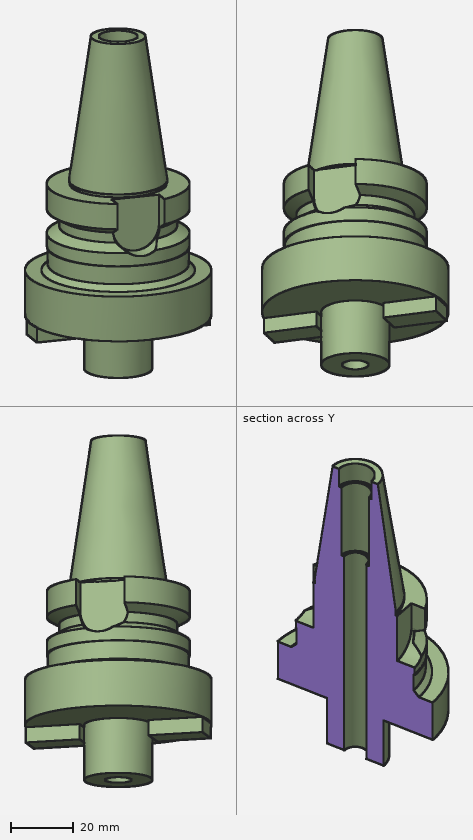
import cadquery as cq
import math


gauge_radius = 31.75 / 2
taper_length = 48.4
taper_rate = 7 / 24
taper_tip_radius = gauge_radius - taper_length * taper_rate / 2
neck_radius = 15.6
neck_length = 1.0

flange_radius = 23.0
flange_bottom_z = -22.0
groove_center_z = -13.5
groove_mouth_width = 8.0
groove_angle = 60.0
groove_floor_radius = 19.0

collar_radius = 22.7
step_height = 2.0

disc_radius = 30.0
disc_top_z = -30.0
disc_bottom_z = -45.0
pilot_radius = 11.0
pilot_bottom_z = -63.0

key_width = 10.0
key_height = 5.0
key_inner_y = 11.5
key_outer_y = 29.5

slot_width = 16.1
slot_floor_x = 16.3
slot_bottom_z = -18.9

entry_bore_radius = 12.5 / 2
entry_bore_depth = 7.0
thread_bore_radius = 10.5 / 2
thread_bore_depth = 34.0
through_bore_radius = 8.5 / 2


def make_body():
    """Revolve the outer profile about Z."""
    half_mouth = groove_mouth_width / 2
    flank_drop = (flange_radius - groove_floor_radius) * math.tan(math.radians(groove_angle / 2))
    half_floor = half_mouth - flank_drop
    profile = [
        (0, taper_length),
        (taper_tip_radius, taper_length),
        (gauge_radius, 0),
        (neck_radius, 0),
        (neck_radius, -neck_length),
        (flange_radius, -neck_length),
        (flange_radius, groove_center_z + half_mouth),
        (groove_floor_radius, groove_center_z + half_floor),
        (groove_floor_radius, groove_center_z - half_floor),
        (flange_radius, groove_center_z - half_mouth),
        (flange_radius, flange_bottom_z),
        (collar_radius, flange_bottom_z),
        (collar_radius, disc_top_z + step_height),
        (collar_radius + step_height, disc_top_z),
        (disc_radius, disc_top_z),
        (disc_radius, disc_bottom_z),
        (pilot_radius, disc_bottom_z),
        (pilot_radius, pilot_bottom_z),
        (0, pilot_bottom_z),
    ]
    return cq.Workplane("XZ").polyline(profile).close().revolve(360, (0, 0, 0), (0, 1, 0))


def make_drive_key(side):
    """Rectangular key below the disc, on the +Y (side = 1) or -Y (side = -1) half."""
    key_length = key_outer_y - key_inner_y
    key_center_y = side * (key_inner_y + key_outer_y) / 2
    return (
        cq.Workplane("XY", origin=(0, key_center_y, disc_bottom_z))
        .rect(key_width, key_length)
        .extrude(-key_height)
    )


def make_drive_slot(side):
    """Round-bottomed slot, open upwards and outwards, on the +X or -X side."""
    half_width = slot_width / 2
    arc_center_z = slot_bottom_z + half_width
    slot_depth = flange_radius - slot_floor_x
    return (
        cq.Workplane("YZ", origin=(side * slot_floor_x, 0, 0))
        .moveTo(-half_width, 0)
        .lineTo(-half_width, arc_center_z)
        .threePointArc((0, slot_bottom_z), (half_width, arc_center_z))
        .lineTo(half_width, 0)
        .close()
        .extrude(side * slot_depth)
    )


def make_bore(radius, depth):
    """Coaxial cylinder reaching down from the small end of the taper."""
    return cq.Workplane("XY", origin=(0, 0, taper_length)).circle(radius).extrude(-depth)


result = make_body()
for side in (-1, 1):
    result = result.union(make_drive_key(side))
    result = result.cut(make_drive_slot(side))

overall_length = taper_length - pilot_bottom_z
for radius, depth in (
    (entry_bore_radius, entry_bore_depth),
    (thread_bore_radius, thread_bore_depth),
    (through_bore_radius, overall_length),
):
    result = result.cut(make_bore(radius, depth))